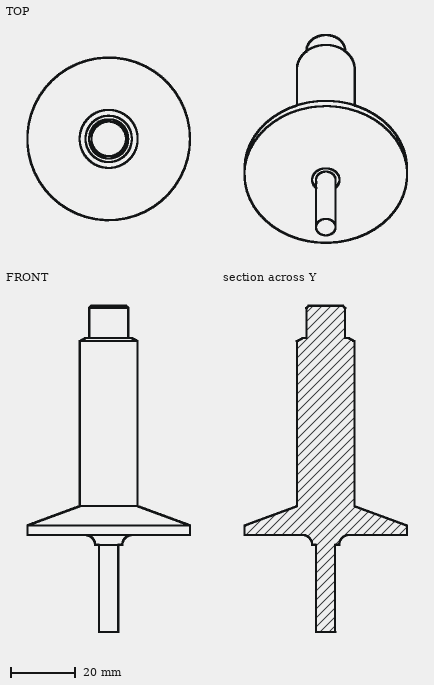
import cadquery as cq
import math

total_height = 101.0

stem_radius = 3.0
stem_length = 27.0

collar_radius = 4.2
flare_radius = 3.0

flange_diameter = 50.4
flange_radius = flange_diameter / 2
rim_height = 3.0
cone_height = 6.0

body_radius = 9.0
bevel_width = 1.8
bevel_height = 1.0

post_radius = 6.1
post_height = 10.0
post_chamfer = 0.7

flange_bottom = stem_length + flare_radius
rim_top = flange_bottom + rim_height
cone_top = rim_top + cone_height
body_top = total_height - post_height

flare_centre_radius = collar_radius + flare_radius
flare_offset = flare_radius * math.sqrt(0.5)
flare_middle = (flare_centre_radius - flare_offset, stem_length + flare_offset)

half_section = (
    cq.Workplane("XZ")
    .moveTo(0, 0)
    .lineTo(stem_radius, 0)
    .lineTo(stem_radius, stem_length)
    .lineTo(collar_radius, stem_length)
    .threePointArc(flare_middle, (flare_centre_radius, flange_bottom))
    .lineTo(flange_radius, flange_bottom)
    .lineTo(flange_radius, rim_top)
    .lineTo(body_radius, cone_top)
    .lineTo(body_radius, body_top - bevel_height)
    .lineTo(body_radius - bevel_width, body_top)
    .lineTo(post_radius, body_top)
    .lineTo(post_radius, total_height - post_chamfer)
    .lineTo(post_radius - post_chamfer, total_height)
    .lineTo(0, total_height)
    .close()
)

result = half_section.revolve(360, (0, 0, 0), (0, 1, 0))